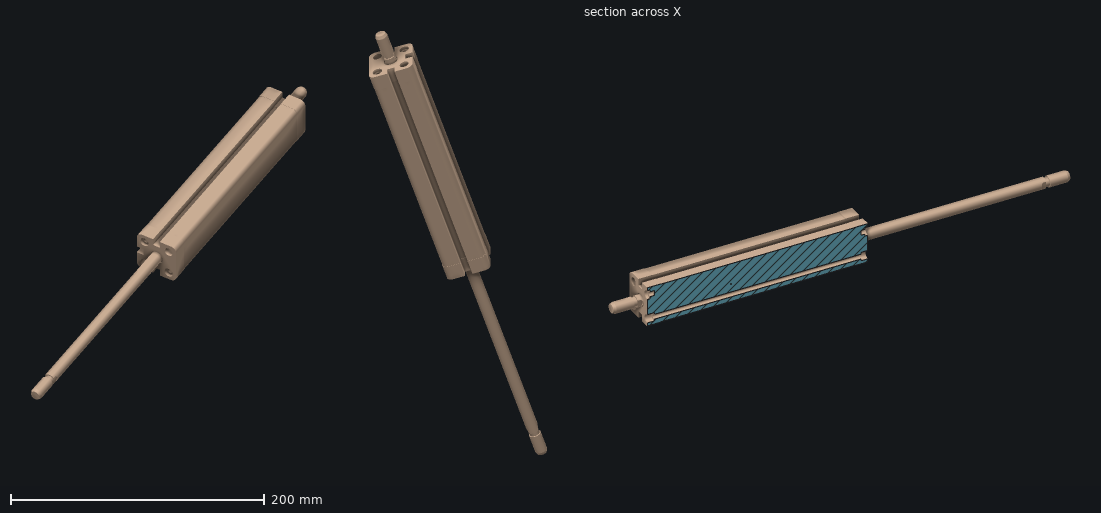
import cadquery as cq

total_length = 411.0
rear_extension = 26.5
body_length = 198.5
cap_length = 12.5
rear_face_y = total_length / 2 - rear_extension
front_face_y = rear_face_y - body_length
body_centre_y = (rear_face_y + front_face_y) / 2
barrel_length = body_length - 2 * cap_length

cap_width = 36.0
barrel_width = 35.8
corner_radius = 5.0

slot_width = 6.0
slot_depth = 6.0
barrel_slot_extra_depth = 0.5

rod_diameter = 10.0
neck_diameter = 8.0
across_flats = neck_diameter
tip_diameter = 8.0
tip_length = 2.5
thread_length = 18.5
neck_length = 3.3
flat_length = 4.5
flat_end_radius = 3.5

rod_recess_diameter = 11.5
rod_recess_depth = 1.2
hole_offset = 11.0
hole_diameter = 4.0
through_counterbore_diameter = 7.5
through_counterbore_depth = 6.0
blind_counterbore_diameter = 8.0
blind_counterbore_depth = 2.5
blind_hole_depth = 6.0


def square_bar(width, length, centre_y):
    """Square bar along Y with rounded long edges."""
    bar = cq.Workplane("XY").box(width, length, width).edges("|Y").fillet(corner_radius)
    return bar.translate((0, centre_y, 0))


def cylinder(diameter, length, start_y, x=0, z=0):
    """Round bar running from start_y toward +Y."""
    start = cq.Vector(x, start_y, z)
    return cq.Workplane(cq.Solid.makeCylinder(diameter / 2, length, start, cq.Vector(0, 1, 0)))


def cut_slots(body, depth, length):
    """Cut the three side slots to a depth measured from the cap sides."""
    slot = (
        cq.Workplane("XY")
        .box(slot_width, length, depth)
        .translate((0, body_centre_y, cap_width / 2 - depth / 2))
    )
    for angle in (0, -90, 180):
        body = body.cut(slot.rotate((0, 0, 0), (0, 1, 0), angle))
    return body


def make_body():
    body = square_bar(barrel_width, barrel_length, body_centre_y)
    cap_distance = (body_length - cap_length) / 2
    for side in (-1, 1):
        body = body.union(square_bar(cap_width, cap_length, body_centre_y + side * cap_distance))
    body = cut_slots(body, slot_depth, body_length)
    return cut_slots(body, slot_depth + barrel_slot_extra_depth, barrel_length)


def cut_from_ends(body, diameter, depth, x=0, z=0):
    """Cut the same round pocket into both end faces."""
    for start_y in (front_face_y, rear_face_y - depth):
        body = body.cut(cylinder(diameter, depth, start_y, x, z))
    return body


def cut_end_holes(body):
    body = cut_from_ends(body, rod_recess_diameter, rod_recess_depth)
    for x in (-hole_offset, hole_offset):
        body = body.cut(cylinder(hole_diameter, body_length, front_face_y, x, x))
        body = cut_from_ends(body, through_counterbore_diameter, through_counterbore_depth, x, x)
        body = cut_from_ends(body, blind_counterbore_diameter, blind_counterbore_depth, x, -x)
        body = cut_from_ends(body, hole_diameter, blind_hole_depth, x, -x)
    return body


def make_flat_cutter(neck_y):
    """Pair of side cuts running from the rear neck toward the middle, with rounded inner ends."""
    inner_y = neck_y - flat_length
    arc_y = inner_y + flat_end_radius
    cut_depth = (rod_diameter - across_flats) / 2
    cutter = (
        cq.Workplane("YZ", origin=(across_flats / 2, 0, 0))
        .moveTo(neck_y, flat_end_radius)
        .lineTo(arc_y, flat_end_radius)
        .threePointArc((inner_y, 0), (arc_y, -flat_end_radius))
        .lineTo(neck_y, -flat_end_radius)
        .close()
        .extrude(cut_depth)
    )
    return cutter.union(cutter.mirror("YZ"))


def make_rod():
    end_y = total_length / 2
    thread_end_y = end_y - thread_length
    neck_y = thread_end_y - neck_length
    rear_profile = [
        (0, end_y),
        (tip_diameter / 2, end_y),
        (rod_diameter / 2, end_y - tip_length),
        (rod_diameter / 2, thread_end_y),
        (neck_diameter / 2, thread_end_y),
        (neck_diameter / 2, neck_y),
        (rod_diameter / 2, neck_y),
    ]
    front_profile = [(radius, -y) for radius, y in reversed(rear_profile)]
    rod = cq.Workplane("XY").polyline(rear_profile + front_profile).close()
    rod = rod.revolve(360, (0, 0, 0), (0, 1, 0))
    flat_cutter = make_flat_cutter(neck_y)
    return rod.cut(flat_cutter).cut(flat_cutter.mirror("XZ"))


result = make_body()
result = cut_end_holes(result)
result = result.union(make_rod())